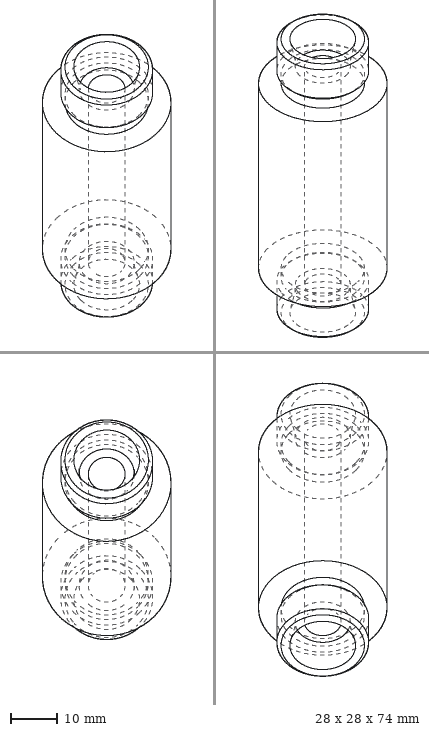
import cadquery as cq

total_length = 74.0
body_diameter = 28.0
body_length = 50.0

spigot_diameter = 20.0
neck_diameter = 18.1
neck_length = 2.45
chamfer = (spigot_diameter - neck_diameter) / 2

bore_diameter = 8.0
cone_mouth_diameter = 14.3
cone_depth = 5.4
counterbore_diameter = 12.0
counterbore_depth = 7.5

half_length = total_length / 2
half_body = body_length / 2


def revolve_profile(points):
    """Revolve a closed (radius, height) outline about the Z axis."""
    return cq.Workplane("XZ").polyline(points).close().revolve(360, (0, 0, 0), (0, 1, 0))


def make_spigot():
    """Upper spigot: a relief neck below a head chamfered on both edges."""
    head_base = half_body + neck_length
    head_radius = spigot_diameter / 2
    neck_radius = neck_diameter / 2
    return revolve_profile([
        (0, 0),
        (neck_radius, 0),
        (neck_radius, head_base),
        (head_radius, head_base + chamfer),
        (head_radius, half_length - chamfer),
        (head_radius - chamfer, half_length),
        (0, half_length),
    ])


def make_socket():
    """Upper socket: a conical mouth leading to a flat-bottomed counterbore."""
    floor = half_length - counterbore_depth
    counterbore_radius = counterbore_diameter / 2
    return revolve_profile([
        (0, floor),
        (counterbore_radius, floor),
        (counterbore_radius, half_length - cone_depth),
        (cone_mouth_diameter / 2, half_length),
        (0, half_length),
    ])


def make_centred_cylinder(diameter, length):
    """Cylinder along Z, centred on the origin."""
    return cq.Workplane("XY").workplane(offset=-length / 2).circle(diameter / 2).extrude(length)


body = make_centred_cylinder(body_diameter, body_length)
bore = make_centred_cylinder(bore_diameter, total_length)
spigot = make_spigot()
socket = make_socket()

result = (
    body
    .union(spigot)
    .union(spigot.mirror("XY"))
    .cut(socket)
    .cut(socket.mirror("XY"))
    .cut(bore)
)